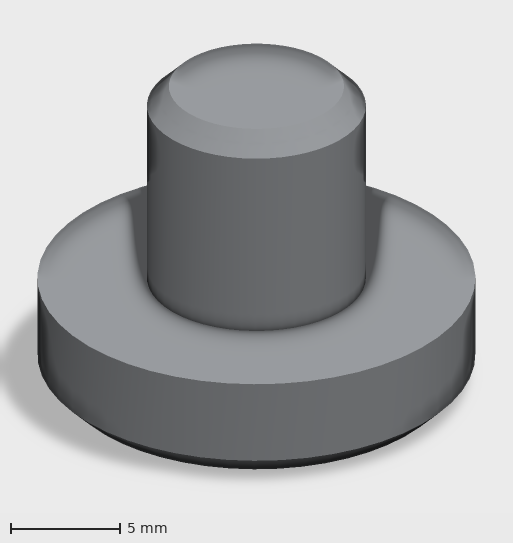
import cadquery as cq

head_diameter = 20.0
head_height = 5.0
pin_diameter = 10.0
total_height = 15.0
chamfer_size = 1.0

pin_height = total_height - head_height


def make_head():
    """Round head standing on Z = 0, chamfered around its bottom edge."""
    head = cq.Workplane("XY").circle(head_diameter / 2).extrude(head_height)
    return head.faces("<Z").edges().chamfer(chamfer_size)


def make_pin():
    """Cylindrical pin on top of the head, chamfered around its free end."""
    pin = cq.Workplane("XY").workplane(offset=head_height).circle(pin_diameter / 2).extrude(pin_height)
    return pin.faces(">Z").edges().chamfer(chamfer_size)


result = make_head().union(make_pin())